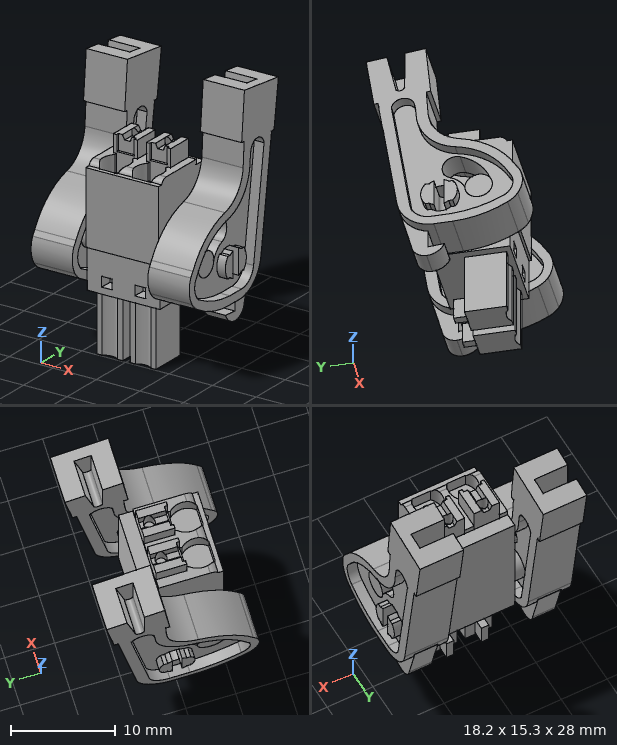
import cadquery as cq
import math


total_width = 18.2
lever_width = 4.75
lever_x = (total_width - lever_width) / 2
pole_x = 1.9
pole_positions = (-pole_x, pole_x)

housing_width = 8.35
housing_depth = 7.92
housing_bottom = 6.6
housing_top = 20.0
rim_z = 19.43
front_rim_depth = 0.55
top_round_back = 1.35
top_round_radius = 0.87
foot_top = 11.17
foot_setback = 0.25

test_width = 1.2
test_height = 1.12
test_bottom = 7.35
test_depth = 1.4

entry_width = 3.05
entry_end_width = 2.02
entry_front = 0.48
entry_bulge_back = 3.15
entry_floor = 18.0

prong_width = 2.97
prong_front = 0.75
prong_back = 4.87
groove_width = 1.8
groove_radius = 1.37
tab_width = 0.8
tab_depth = 1.3
tab_bottom = 0.28
tab_top = 2.52

button_width = 2.77
button_front = 3.42
button_back = 6.5
button_top = 21.95
button_recess_width = 2.0
button_recess_depth = 0.3
button_recess_floor = 20.2
channel_top_width = 1.12
channel_floor_width = 0.62
channel_depth = 0.5
tool_hole_radius = 0.575
tool_hole_y = 5.55
tool_hole_depth = 1.4

pivot_y = 6.13
pivot_z = 10.47
pivot_radius = 1.5
pivot_head_radius = 1.8
pivot_head_height = 2.35
pivot_head_thickness = 0.98
slit_width = 0.98
slit_depth = 2.8
stop_radius = 1.35
stop_swing_radius = 3.78
stop_angle = math.radians(165.5)
slot_end_angle = math.radians(111.5)
slot_radius = 1.3

pocket_depth = 1.12
lever_top = 28.0
lever_bottom = housing_bottom
web_width = lever_width - 2 * pocket_depth
finger_slot_radius = 0.45
finger_slot_y = 9.9
finger_slot_z = 23.72
finger_slot_top_back = 11.28
finger_slot_depth = lever_width - pocket_depth


def box(x_range, y_range, z_range):
    """A block between the given limits."""
    return (
        cq.Workplane("XY")
        .box(
            x_range[1] - x_range[0],
            y_range[1] - y_range[0],
            z_range[1] - z_range[0],
            centered=False,
        )
        .translate((x_range[0], y_range[0], z_range[0]))
    )


def centred_range(centre, width):
    return (centre - width / 2, centre + width / 2)


def side_plane(x):
    """A sketch plane at the given X, with Y across and Z up."""
    return cq.Workplane("YZ", origin=(x, 0, 0))


def swing_point(angle):
    """The point (Y, Z) on the stop pin's path at an angle about the pivot, counted from +Y."""
    return (
        pivot_y + stop_swing_radius * math.cos(angle),
        pivot_z + stop_swing_radius * math.sin(angle),
    )


stop_centre = swing_point(stop_angle)


def lever_outline(plane):
    """The lever seen from the side, clockwise from the front of its top."""
    return (
        plane.moveTo(7.4, lever_top)
        .lineTo(6.92, 22.75)
        .lineTo(7.35, 22.68)
        .lineTo(7.17, 20.02)
        .radiusArc((4.05, 16.5), 4.0)
        .radiusArc((-1.43, 12.35), -8.57)
        .lineTo(-1.8, 11.8)
        .radiusArc((-1.6, 8.95), -3.0)
        .radiusArc((-0.62, 8.05), -2.8)
        .radiusArc((4.75, lever_bottom), -10.92)
        .lineTo(6.6, lever_bottom)
        .radiusArc((10.25, 9.75), -3.7)
        .lineTo(12.07, 22.1)
        .lineTo(12.5, 22.1)
        .lineTo(13.25, 27.33)
        .close()
    )


def pocket_outline(plane):
    """The outline of the pocket in each side of the lever."""
    return (
        plane.moveTo(8.48, 21.28)
        .lineTo(8.35, 20.27)
        .radiusArc((4.55, 15.6), 4.75)
        .radiusArc((-0.73, 11.55), -7.67)
        .radiusArc((-0.22, 8.93), -1.75)
        .radiusArc((4.9, 7.55), -12.1)
        .lineTo(6.92, 7.55)
        .radiusArc((8.95, 9.27), -2.07)
        .lineTo(10.75, 21.35)
        .radiusArc((8.48, 21.28), -1.15)
        .close()
    )


def hook_outline(plane):
    """The hook below the lever; its upper end lies within the lever."""
    return (
        plane.moveTo(7.42, 7.85)
        .lineTo(7.42, 4.82)
        .lineTo(5.82, 4.93)
        .radiusArc((7.55, 3.78), -1.88)
        .radiusArc((9.07, 5.15), -1.55)
        .lineTo(10.2, 9.3)
        .close()
    )


def stop_slot():
    """The curved slot that the stop pin swings in, with a seat that fits the pin."""
    inner = stop_swing_radius - slot_radius
    outer = stop_swing_radius + slot_radius
    pivot = (pivot_y, pivot_z)
    band = (
        side_plane(-lever_width)
        .center(*pivot)
        .circle(outer)
        .circle(inner)
        .extrude(2 * lever_width)
    )
    reach = 2 * outer
    sector = (
        side_plane(-lever_width)
        .moveTo(*pivot)
        .lineTo(pivot_y + reach * math.cos(slot_end_angle), pivot_z + reach * math.sin(slot_end_angle))
        .lineTo(pivot_y + reach * math.cos(stop_angle), pivot_z + reach * math.sin(stop_angle))
        .close()
        .extrude(2 * lever_width)
    )
    far_end = side_plane(-lever_width).center(*swing_point(slot_end_angle)).circle(slot_radius)
    seat = side_plane(-lever_width).center(*stop_centre).circle(stop_radius)
    return (
        band.intersect(sector)
        .union(far_end.extrude(2 * lever_width))
        .union(seat.extrude(2 * lever_width))
    )


def make_lever(x):
    """One lever, centred on the given X."""
    half_width = lever_width / 2
    lever = lever_outline(side_plane(-half_width)).extrude(lever_width)
    for pocket_x in (-half_width, half_width - pocket_depth):
        lever = lever.cut(pocket_outline(side_plane(pocket_x)).extrude(pocket_depth))
    lever = lever.union(hook_outline(side_plane(-web_width / 2)).extrude(web_width))

    finger_slot = (
        side_plane(-half_width)
        .moveTo(finger_slot_y - finger_slot_radius, lever_top)
        .lineTo(finger_slot_y - finger_slot_radius, finger_slot_z)
        .threePointArc(
            (finger_slot_y, finger_slot_z - finger_slot_radius),
            (finger_slot_y + finger_slot_radius, finger_slot_z),
        )
        .lineTo(finger_slot_top_back, lever_top)
        .close()
        .extrude(finger_slot_depth)
    )
    pivot_hole = side_plane(-half_width).center(pivot_y, pivot_z).circle(pivot_radius).extrude(lever_width)
    return lever.cut(finger_slot).cut(pivot_hole).cut(stop_slot()).translate((x, 0, 0))


def button_block(x):
    """The plain block of a button, which also sets its seat in the housing."""
    return box(
        centred_range(x, button_width), (button_front, button_back), (entry_floor, button_top)
    )


def make_button(x):
    """One button, with a recess in its front and a channel and a tool hole in its top."""
    recess = box(
        centred_range(x, button_recess_width),
        (button_front, button_front + button_recess_depth),
        (button_recess_floor, button_top),
    )
    channel_floor = button_top - channel_depth
    channel = (
        cq.Workplane("XZ", origin=(x, button_back, 0))
        .moveTo(-channel_top_width / 2, button_top)
        .lineTo(-channel_floor_width / 2, channel_floor)
        .lineTo(channel_floor_width / 2, channel_floor)
        .lineTo(channel_top_width / 2, button_top)
        .close()
        .extrude(button_back - button_front)
    )
    tool_hole = (
        cq.Workplane("XY", origin=(x, tool_hole_y, channel_floor - tool_hole_depth))
        .circle(tool_hole_radius)
        .extrude(tool_hole_depth + channel_depth)
    )
    return button_block(x).cut(recess).cut(channel).cut(tool_hole)


def housing_block():
    """The housing body, with its low rims, rounded front edge and set-back foot."""
    return (
        side_plane(-housing_width / 2)
        .moveTo(foot_setback, housing_bottom)
        .lineTo(housing_depth, housing_bottom)
        .lineTo(housing_depth, rim_z)
        .lineTo(button_back, rim_z)
        .lineTo(button_back, housing_top)
        .lineTo(top_round_back, housing_top)
        .radiusArc((front_rim_depth, rim_z), -top_round_radius)
        .lineTo(0, rim_z)
        .lineTo(0, foot_top)
        .lineTo(foot_setback, foot_top)
        .close()
        .extrude(housing_width)
    )


def wire_entry(x):
    """A wire entry with bulging sides and flat ends, open to the button behind it."""
    bulge_middle = (entry_front + entry_bulge_back) / 2
    half_width = entry_width / 2
    half_end = entry_end_width / 2
    return (
        cq.Workplane("XY", origin=(x, 0, entry_floor))
        .moveTo(-half_end, entry_front)
        .lineTo(half_end, entry_front)
        .threePointArc((half_width, bulge_middle), (half_end, entry_bulge_back))
        .lineTo(half_end, button_front)
        .lineTo(-half_end, button_front)
        .lineTo(-half_end, entry_bulge_back)
        .threePointArc((-half_width, bulge_middle), (-half_end, entry_front))
        .close()
        .extrude(housing_top - entry_floor)
    )


def test_opening(x):
    return box(
        centred_range(x, test_width),
        (0, foot_setback + test_depth),
        (test_bottom, test_bottom + test_height),
    )


def prong(x):
    """A contact prong, with a rounded groove down its front and a tab at the back of its tip."""
    body = box(centred_range(x, prong_width), (prong_front, prong_back), (0, housing_bottom))
    axis_offset = math.sqrt(groove_radius**2 - (groove_width / 2) ** 2)
    groove = (
        cq.Workplane("XY", origin=(x, prong_front - axis_offset, 0))
        .circle(groove_radius)
        .extrude(housing_bottom)
    )
    tab = box(centred_range(x, tab_width), (prong_back, prong_back + tab_depth), (tab_bottom, tab_top))
    return body.cut(groove).union(tab)


def side_pins():
    """The pivot and stop pin on the +X side; they reach through the lever's web."""
    start_x = housing_width / 2
    web_face_x = lever_x + web_width / 2
    head_x = web_face_x + pivot_head_thickness
    stop_pin = side_plane(start_x).center(*stop_centre).circle(stop_radius).extrude(web_face_x - start_x)
    pivot = side_plane(start_x).center(pivot_y, pivot_z).circle(pivot_radius).extrude(head_x - start_x)

    head_disc = (
        side_plane(web_face_x)
        .center(pivot_y, pivot_z)
        .circle(pivot_head_radius)
        .extrude(pivot_head_thickness)
    )
    head_band = box(
        (web_face_x, head_x),
        centred_range(pivot_y, 2 * pivot_head_radius),
        centred_range(pivot_z, pivot_head_height),
    )

    slit_floor_x = head_x - slit_depth
    slit_radius = slit_width / 2
    slit = (
        cq.Workplane("XY", origin=(0, pivot_y, pivot_z - pivot_radius))
        .moveTo(head_x, -slit_radius)
        .lineTo(slit_floor_x + slit_radius, -slit_radius)
        .threePointArc((slit_floor_x, 0), (slit_floor_x + slit_radius, slit_radius))
        .lineTo(head_x, slit_radius)
        .close()
        .extrude(2 * pivot_radius)
    )
    return stop_pin.union(pivot.union(head_disc.intersect(head_band)).cut(slit))


def make_housing():
    housing = housing_block()
    for x in pole_positions:
        housing = housing.cut(button_block(x)).cut(wire_entry(x)).cut(test_opening(x)).union(prong(x))
    pins = side_pins()
    return housing.union(pins).union(pins.mirror("YZ"))


housing = make_housing()
buttons = [make_button(x) for x in pole_positions]
levers = [make_lever(x) for x in (-lever_x, lever_x)]
bodies = [housing, *buttons, *levers]

result = cq.Compound.makeCompound([body.solids().val() for body in bodies])